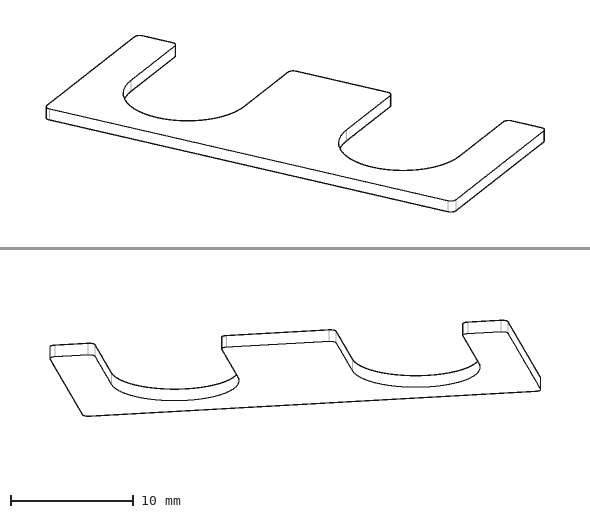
import cadquery as cq

length = 38.0
width = 16.0
thickness = 1.0
corner_radius = 0.5

slot_width = 10.5
slot_spacing = 20.0


def make_plate():
    return cq.Workplane("XY").box(length, width, thickness, centered=(True, True, False))


def make_slot(center_x):
    """Cutter: a round end on the X axis that runs straight out through the +Y edge."""
    slot_radius = slot_width / 2
    open_end_y = width / 2
    return (
        cq.Workplane("XY")
        .moveTo(center_x - slot_radius, open_end_y)
        .lineTo(center_x - slot_radius, 0)
        .threePointArc((center_x, -slot_radius), (center_x + slot_radius, 0))
        .lineTo(center_x + slot_radius, open_end_y)
        .close()
        .extrude(thickness)
    )


def round_corners(plate):
    """Round every upright edge on the front and back sides, slot mouths included."""
    corners = plate.faces("<Y or >Y").edges("|Z")
    return corners.fillet(corner_radius)


plate = make_plate()
for side in (-1, 1):
    plate = plate.cut(make_slot(side * slot_spacing / 2))

result = round_corners(plate)